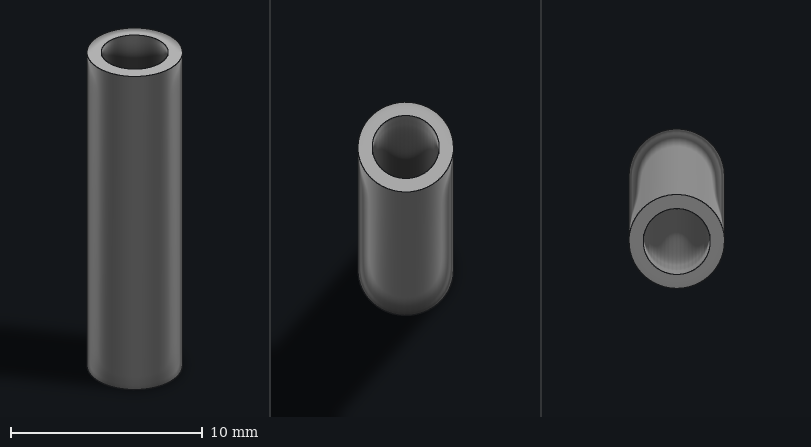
import cadquery as cq

length = 19.0
outer_diameter = 5.0
bore_diameter = 3.5

result = (
    cq.Workplane("XY")
    .circle(outer_diameter / 2)
    .circle(bore_diameter / 2)
    .extrude(length)
)